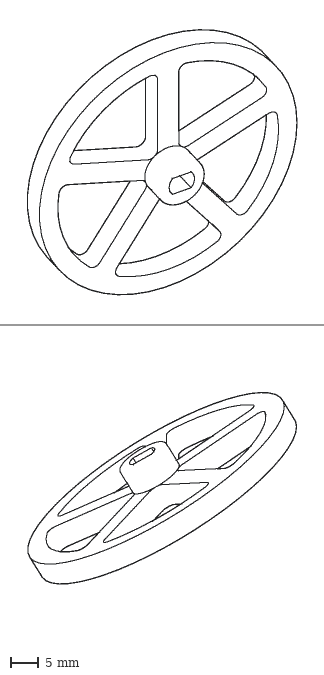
import cadquery as cq
import math

wheel_diameter = 54.9
wheel_width = 4.5
window_outer_radius = 23.5
spoke_count = 5
spoke_width = 4.5
window_corner_radius = 1.5
hub_diameter = 10.0
hub_length = 5.0
hub_edge_radius = 0.5
screw_hole_diameter = 3.0
socket_diameter = 5.4
socket_flat_spacing = 3.7
socket_floor_thickness = 1.0

total_length = wheel_width + hub_length
window_inner_radius = hub_diameter / 2
spoke_pitch = 360 / spoke_count


def cylinder(diameter, start, length):
    """Solid cylinder along +X, beginning at X = start."""
    return cq.Workplane("YZ", origin=(start, 0, 0)).circle(diameter / 2).extrude(length)


def window_cutter():
    """Rounded ring sector between two neighbouring spokes, centred on the -Z direction."""
    half_pitch = math.radians(spoke_pitch / 2)

    def corner(radius, side):
        """Point where a spoke side crosses a circle about the wheel axis."""
        angle = half_pitch - math.asin(spoke_width / 2 / radius)
        return side * radius * math.sin(angle), -radius * math.cos(angle)

    return (
        cq.Workplane("YZ")
        .moveTo(*corner(window_inner_radius, -1))
        .threePointArc((0, -window_inner_radius), corner(window_inner_radius, 1))
        .lineTo(*corner(window_outer_radius, 1))
        .threePointArc((0, -window_outer_radius), corner(window_outer_radius, -1))
        .close()
        .extrude(wheel_width)
        .edges("|X")
        .fillet(window_corner_radius)
    )


wheel = cylinder(wheel_diameter, 0, wheel_width)
window = window_cutter()
for index in range(spoke_count):
    wheel = wheel.cut(window.rotate((0, 0, 0), (1, 0, 0), index * spoke_pitch))

hub = cylinder(hub_diameter, wheel_width, hub_length).faces(">X").edges().fillet(hub_edge_radius)

socket_depth = total_length - socket_floor_thickness
flats = (
    cq.Workplane("YZ", origin=(socket_floor_thickness, 0, 0))
    .rect(socket_diameter, socket_flat_spacing)
    .extrude(socket_depth)
)
socket = cylinder(socket_diameter, socket_floor_thickness, socket_depth).intersect(flats)

screw_hole = cylinder(screw_hole_diameter, 0, total_length)

result = wheel.union(hub).cut(socket).cut(screw_hole)